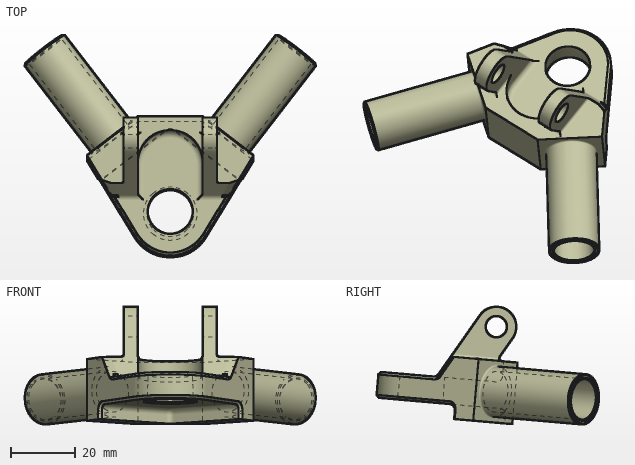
import cadquery as cq
import math

TILT = 5.0
FLANK = 58.7
LUG_SLOPE = 60.0
TUBE_ANGLE = 52.5

BODY_HEIGHT = 19.35
PLATE_BOTTOM = 4.5
PLATE_TOP = 12.7
BACK_Y = 29.1
CORNER_Y = 16.8
NOSE_RADIUS = 13.0
NOSE_Y = -1.0
HOLE_RADIUS = 7.0
HOLE_Y = -0.2
HOLE_STRAIGHT = 2.4
HOLE_TAPER_RADIUS = 7.3
HOLE_MOUTH_RADIUS = 8.4
HOLE_MOUTH_DEPTH = 0.45
EDGE_CHAMFER = 0.9
SLOPE_BEVEL = 2.3
INNER_FILLET = 1.8

FOOT_APEX_Y = 27.2

LUG_INNER_X = 10.1
LUG_THICKNESS = 4.45
LUG_RADIUS = 6.3
LUG_HOLE_RADIUS = 3.3
LUG_HOLE_Y = 21.4
LUG_HOLE_Z = 29.9
LUG_FILLET = 0.9

POCKET_CENTER_Y = 14.6

TUBE_RADIUS = 7.9
TUBE_BORE_RADIUS = 6.4
TUBE_LENGTH = 35.1
TUBE_CHAMFER = 0.4
TUBE_FILLET = 0.45

SMALL = 0.1

flank_sin = math.sin(math.radians(FLANK))
flank_cos = math.cos(math.radians(FLANK))
flank_tan = flank_sin / flank_cos
lug_sin = math.sin(math.radians(LUG_SLOPE))
lug_cos = math.cos(math.radians(LUG_SLOPE))
lug_tan = lug_sin / lug_cos
tube_dx = math.cos(math.radians(TUBE_ANGLE))
tube_dy = math.sin(math.radians(TUBE_ANGLE))
seat_slope = tube_dx / tube_dy

tangent_x = NOSE_RADIUS * flank_sin
tangent_y = NOSE_Y - NOSE_RADIUS * flank_cos
corner_x = tangent_x + (CORNER_Y - tangent_y) / flank_tan
back_x = corner_x - (BACK_Y - CORNER_Y) / seat_slope
REACH = 2 * corner_x


def slope_y(z):
    """Y of the sloping front plane, tangent to the lug eyes, at height z."""
    return LUG_HOLE_Y - LUG_RADIUS / lug_sin + (z - LUG_HOLE_Z) / lug_tan


def make_blank():
    """Body outline at full height."""
    return (
        cq.Workplane("XY")
        .moveTo(-tangent_x, tangent_y)
        .threePointArc((0, NOSE_Y - NOSE_RADIUS), (tangent_x, tangent_y))
        .lineTo(corner_x, CORNER_Y)
        .lineTo(back_x, BACK_Y)
        .lineTo(-back_x, BACK_Y)
        .lineTo(-corner_x, CORNER_Y)
        .close()
        .extrude(BODY_HEIGHT)
    )


def make_front_relief():
    """Space above the plate, in front of the slope, with a rounded slope foot."""
    relief = (
        cq.Workplane("YZ")
        .moveTo(-REACH, PLATE_TOP)
        .lineTo(slope_y(PLATE_TOP), PLATE_TOP)
        .lineTo(slope_y(LUG_HOLE_Z), LUG_HOLE_Z)
        .lineTo(-REACH, LUG_HOLE_Z)
        .close()
        .extrude(REACH, both=True)
    )
    foot_point = (0, slope_y(PLATE_TOP), PLATE_TOP)
    return relief.edges(cq.NearestToPointSelector(foot_point)).fillet(INNER_FILLET)


def make_underside_relief():
    """Space below the plate, in front of the V-shaped foot wall."""
    side_y = FOOT_APEX_Y - REACH * seat_slope
    relief = (
        cq.Workplane("XY")
        .polyline([(-REACH, side_y), (0, FOOT_APEX_Y), (REACH, side_y), (REACH, -REACH), (-REACH, -REACH)])
        .close()
        .extrude(PLATE_BOTTOM)
    )
    apex_point = (0, FOOT_APEX_Y, PLATE_BOTTOM / 2)
    relief = relief.edges(cq.NearestToPointSelector(apex_point)).fillet(INNER_FILLET)
    return relief.faces(">Z").edges(">Y").fillet(INNER_FILLET)


def make_pocket():
    """Round-backed slot down to the plate, with a rounded floor edge at its back and sides."""
    length = REACH + POCKET_CENTER_Y
    slot = (
        cq.Workplane("XY", origin=(0, 0, PLATE_TOP))
        .moveTo(-LUG_INNER_X, POCKET_CENTER_Y - length)
        .lineTo(-LUG_INNER_X, POCKET_CENTER_Y)
        .threePointArc((0, POCKET_CENTER_Y + LUG_INNER_X), (LUG_INNER_X, POCKET_CENTER_Y))
        .lineTo(LUG_INNER_X, POCKET_CENTER_Y - length)
        .close()
        .extrude(BODY_HEIGHT)
    )
    return slot.faces("<Z").edges(">Y").fillet(INNER_FILLET)


def make_lug(side):
    """Upright eye on one side; its front edge lies in the slope plane."""
    front_y = slope_y(PLATE_TOP)
    width = 2 * LUG_RADIUS / lug_sin
    dy = LUG_RADIUS * lug_sin
    dz = LUG_RADIUS * lug_cos
    x = LUG_INNER_X if side > 0 else -LUG_INNER_X - LUG_THICKNESS
    return (
        cq.Workplane("YZ", origin=(x, 0, 0))
        .moveTo(front_y, PLATE_TOP)
        .lineTo(LUG_HOLE_Y - dy, LUG_HOLE_Z + dz)
        .threePointArc(
            (LUG_HOLE_Y + LUG_RADIUS * lug_cos, LUG_HOLE_Z + LUG_RADIUS * lug_sin),
            (LUG_HOLE_Y + dy, LUG_HOLE_Z - dz),
        )
        .lineTo(front_y + width, PLATE_TOP)
        .close()
        .extrude(LUG_THICKNESS)
    )


def tube_plane(side):
    """Plane on the middle of a tube seat, facing out along the tube."""
    seat_center = (
        side * (corner_x + back_x) / 2,
        (CORNER_Y + BACK_Y) / 2,
        BODY_HEIGHT / 2,
    )
    return cq.Plane(origin=seat_center, xDir=(0, 0, 1), normal=(side * tube_dx, tube_dy, 0))


def make_tube(side):
    """Solid tube with a chamfered outer end."""
    tube = cq.Workplane(tube_plane(side)).circle(TUBE_RADIUS).extrude(TUBE_LENGTH)
    return tube.faces(cq.DirectionMinMaxSelector(tube_plane(side).zDir, True)).chamfer(TUBE_CHAMFER)


def make_bore(side):
    """Blind tube bore that ends at the seat, with a chamfered mouth."""
    mouth_radius = TUBE_BORE_RADIUS + TUBE_CHAMFER
    bore = (
        cq.Workplane(tube_plane(side))
        .circle(TUBE_BORE_RADIUS)
        .extrude(TUBE_LENGTH)
    )
    mouth = cq.Solid.makeCone(
        TUBE_BORE_RADIUS,
        mouth_radius,
        TUBE_CHAMFER,
        pnt=tube_plane(side).toWorldCoords((0, 0, TUBE_LENGTH - TUBE_CHAMFER)),
        dir=tube_plane(side).zDir,
    )
    return bore.union(cq.Workplane(mouth))


def add_tube(body, side):
    """Join a tube, round its root and bore it."""
    seat = tube_plane(side)
    body = body.union(make_tube(side))
    root = [
        edge
        for edge in body.edges("%CIRCLE").vals()
        if abs(edge.radius() - TUBE_RADIUS) < SMALL and (edge.arcCenter() - seat.origin).Length < SMALL
    ]
    return body.newObject(root).fillet(TUBE_FILLET).cut(make_bore(side))


def make_plate_hole():
    """Hole that is straight at the top, tapers slightly wider and ends in a shallow countersink."""
    taper_top = PLATE_TOP - HOLE_STRAIGHT
    return (
        cq.Workplane("XZ", origin=(0, HOLE_Y, 0))
        .moveTo(0, PLATE_BOTTOM)
        .lineTo(HOLE_MOUTH_RADIUS, PLATE_BOTTOM)
        .lineTo(HOLE_TAPER_RADIUS, PLATE_BOTTOM + HOLE_MOUTH_DEPTH)
        .lineTo(HOLE_RADIUS, taper_top)
        .lineTo(HOLE_RADIUS, BODY_HEIGHT)
        .lineTo(0, BODY_HEIGHT)
        .close()
        .revolve(360, (0, 0, 0), (0, 1, 0))
    )


def make_slope_bevel(side):
    """Wedge that bevels the edge between the front slope and a flank, down to the plate."""
    start_y = slope_y(PLATE_TOP)
    start_x = tangent_x + (start_y - tangent_y) / flank_tan
    rise = BODY_HEIGHT - PLATE_TOP
    run_y = rise / lug_tan
    run_x = run_y / flank_tan
    edge_length = math.hypot(run_x, run_y, rise)
    setback = EDGE_CHAMFER * edge_length / rise
    points = [
        (side * start_x, start_y, PLATE_TOP),
        (side * (start_x + setback * flank_cos), start_y + setback * flank_sin, PLATE_TOP),
        (side * (start_x - SLOPE_BEVEL), start_y, PLATE_TOP),
    ]
    section = cq.Wire.makePolygon([cq.Vector(*point) for point in points], close=True)
    wedge = cq.Solid.extrudeLinear(section, [], cq.Vector(side * run_x, run_y, rise))
    return cq.Workplane(wedge)


def chamfer_rim(body):
    """Chamfer the upper and lower rims of the flanks and nose, up to the body top and bottom."""
    rim = []
    for face in body.faces().vals():
        normal = face.normalAt()
        if normal.y > 0 or abs(normal.z) > SMALL or face.Center().y > CORNER_Y / 2:
            continue
        for edge in face.Edges():
            box = edge.BoundingBox()
            on_seat = box.ymax > CORNER_Y - SMALL
            on_nose_seam = box.ylen < SMALL and box.zmax > PLATE_BOTTOM + SMALL
            if not (on_seat or on_nose_seam):
                rim.append(edge)
    return body.newObject(rim).chamfer(EDGE_CHAMFER)


def add_lug(body, side):
    """Join a lug and round the edges where it meets the body top."""
    x_limits = sorted((side * (LUG_INNER_X - SMALL), side * (LUG_INNER_X + LUG_THICKNESS + SMALL)))
    base_edges = cq.selectors.BoxSelector(
        (x_limits[0], slope_y(BODY_HEIGHT) + LUG_FILLET, BODY_HEIGHT - SMALL),
        (x_limits[1], BACK_Y - LUG_FILLET, BODY_HEIGHT + SMALL),
    )
    return body.union(make_lug(side)).edges(base_edges).fillet(LUG_FILLET)


body = make_blank().cut(make_front_relief()).cut(make_underside_relief())
body = chamfer_rim(body).cut(make_pocket())
for side in (-1, 1):
    body = body.cut(make_slope_bevel(side))
    body = add_lug(body, side)
    body = add_tube(body, side)

lug_holes = (
    cq.Workplane("YZ")
    .center(LUG_HOLE_Y, LUG_HOLE_Z)
    .circle(LUG_HOLE_RADIUS)
    .extrude(REACH, both=True)
)
result = body.cut(make_plate_hole()).cut(lug_holes).rotate((0, 0, 0), (1, 0, 0), -TILT)